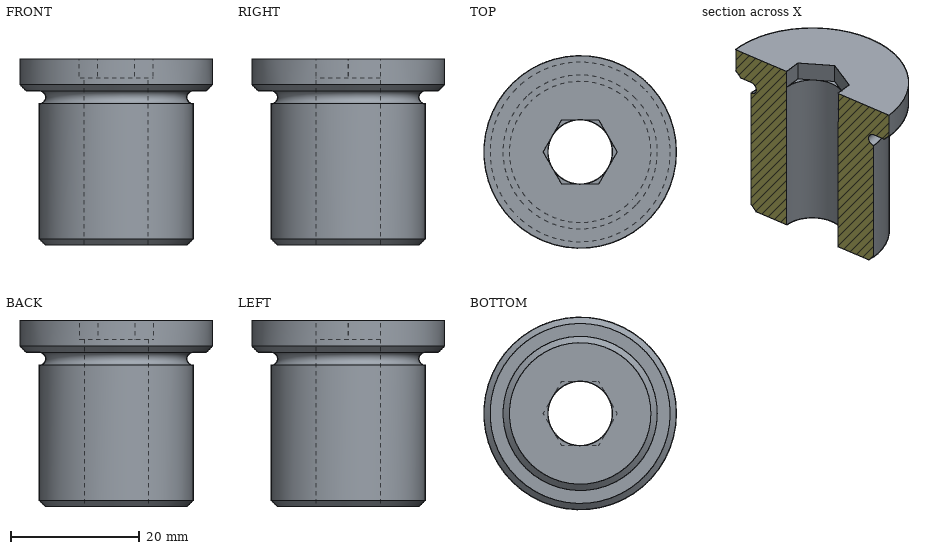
import cadquery as cq

head_diameter = 30.0
total_height = 29.0
head_height = 5.0
shank_diameter = 24.0
chamfer = 1.0
groove_radius = 1.0
socket_across_flats = 10.0
socket_depth = 3.0

head_radius = head_diameter / 2
shank_radius = shank_diameter / 2
head_bottom = total_height - head_height
groove_middle = head_bottom - groove_radius
groove_bottom = head_bottom - 2 * groove_radius
bore_diameter = socket_across_flats
HEX_SIDES = 6
HALF_HEX_STEP = 180 / HEX_SIDES


def make_body():
    """Revolve the headed shank with its edge chamfers and round undercut groove."""
    profile = (
        cq.Workplane("XZ")
        .lineTo(shank_radius - chamfer, 0)
        .lineTo(shank_radius, chamfer)
        .lineTo(shank_radius, groove_bottom)
        .threePointArc((shank_radius - groove_radius, groove_middle), (shank_radius, head_bottom))
        .lineTo(head_radius - chamfer, head_bottom)
        .lineTo(head_radius, head_bottom + chamfer)
        .lineTo(head_radius, total_height)
        .lineTo(0, total_height)
        .close()
    )
    return profile.revolve(360, (0, 0, 0), (0, 1, 0))


def make_bore():
    """Round hole through the full height."""
    return cq.Workplane("XY").circle(bore_diameter / 2).extrude(total_height)


def make_socket():
    """Hexagonal key socket, sunk from the top with two corners on the X axis."""
    return (
        cq.Workplane("XY", origin=(0, 0, total_height - socket_depth))
        .polygon(HEX_SIDES, socket_across_flats, circumscribed=True)
        .extrude(socket_depth)
        .rotate((0, 0, 0), (0, 0, 1), HALF_HEX_STEP)
    )


result = make_body().cut(make_bore()).cut(make_socket())